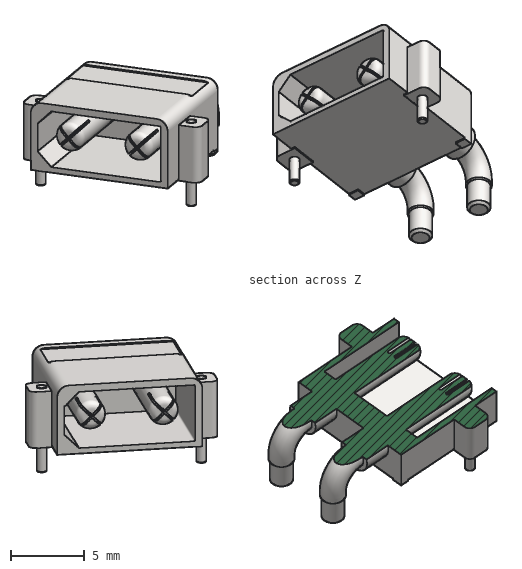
import cadquery as cq


overall_width = 13.0
overall_length = 13.9
overall_height = 7.0

leg_length = 2.0
solder_diameter = 1.6
solder_chamfer = 0.2
collar_length = 0.5
collar_chamfer = 0.1

contact_spacing = 5.0
contact_diameter = 2.0
contact_tip_fillet = 0.5
contact_tip_y = 0.6
tip_slot_width = 0.14
tip_slot_depth = 2.0
barrel_diameter = 2.5
barrel_length = 2.0
elbow_diameter = 1.8
elbow_radius = 2.0

body_width = 10.0
body_length = overall_length - barrel_length - elbow_radius - elbow_diameter / 2
body_top = overall_height - leg_length
body_fillet = 0.8
foot_height = 0.1
foot_length = 0.7
axis_z = body_top / 2

wall = 0.5
cavity_depth = 7.0
cavity_width = body_width - 2 * wall
cavity_height = body_top - 2 * wall
key_chamfer = 1.0
cavity_fillet = 0.11

band_depth = 0.1
band_length = 2.93
rear_rim = 0.7

ear_length = 2.0
ear_height = 4.0
ear_fillet = 0.5
ear_y = 3.0
ear_overlap = 0.3
ear_pin_diameter = 0.7
ear_pin_inset = 1.0
ear_pin_chamfer = 0.08
ear_pin_head = 0.04


def make_housing():
    """Block with rounded upper edges, a band on top and a foot at each rear corner."""
    block_height = body_top - foot_height
    block = (
        cq.Workplane("XY")
        .workplane(offset=foot_height)
        .rect(body_width, body_length)
        .extrude(block_height)
        .translate((0, body_length / 2, 0))
        .edges("|Y and >Z")
        .fillet(body_fillet)
    )
    band = cq.Workplane("XY").box(body_width, band_length, band_depth, centered=(True, False, False))
    block = block.cut(band.translate((0, body_length - rear_rim - band_length, body_top - band_depth)))

    foot_x = (body_width - body_fillet) / 2
    foot_y = body_length - foot_length / 2
    feet = (
        cq.Workplane("XY")
        .pushPoints([(-foot_x, foot_y), (foot_x, foot_y)])
        .rect(body_fillet, foot_length)
        .extrude(foot_height)
    )
    return block.union(feet)


def make_cavity():
    """Plug opening with its two keying chamfers on the -X side."""
    cavity = cq.Workplane("XY").box(cavity_width, cavity_depth, cavity_height)
    cavity = cavity.edges("|Y and <X").chamfer(key_chamfer)
    cavity = cavity.edges("|Y and >X").fillet(cavity_fillet)
    return cavity.translate((0, cavity_depth / 2, axis_z))


def make_ear(side):
    """Ear on one side of the housing (side is -1 or 1) with its pin pressed through."""
    outer_x = overall_width / 2
    inner_x = body_width / 2 - ear_overlap
    ear = (
        cq.Workplane("XY")
        .center(side * (outer_x + inner_x) / 2, ear_y)
        .rect(outer_x - inner_x, ear_length)
        .extrude(ear_height)
        .edges("|Z and >X" if side > 0 else "|Z and <X")
        .fillet(ear_fillet)
    )
    pin = (
        cq.Workplane("XY")
        .workplane(offset=-leg_length)
        .center(side * (outer_x - ear_pin_inset), ear_y)
        .circle(ear_pin_diameter / 2)
        .extrude(leg_length + ear_height + ear_pin_head)
        .faces("<Z")
        .chamfer(ear_pin_chamfer)
    )
    return ear.union(pin)


def make_plug_pin():
    """Round-nosed pin running back to the housing rear face, its tip split by a diagonal cross."""
    pin_length = body_length - contact_tip_y
    pin = (
        cq.Workplane("XZ", origin=(0, contact_tip_y, 0))
        .circle(contact_diameter / 2)
        .extrude(-pin_length)
        .faces("<Y")
        .edges()
        .fillet(contact_tip_fillet)
    )
    for angle in (45, -45):
        slot = cq.Workplane("XY").box(
            contact_diameter, tip_slot_depth, tip_slot_width, centered=(True, False, True)
        )
        slot = slot.rotate((0, 0, 0), (0, 1, 0), angle)
        pin = pin.cut(slot.translate((0, contact_tip_y, 0)))
    return pin


def make_tail():
    """Barrel behind the housing, a quarter bend downward, a collar and a soldering leg."""
    barrel_end = body_length + barrel_length
    leg_y = barrel_end + elbow_radius
    barrel = (
        cq.Workplane("XZ", origin=(0, body_length, 0))
        .circle(barrel_diameter / 2)
        .extrude(-barrel_length)
    )
    elbow = (
        cq.Workplane("XZ", origin=(0, barrel_end, 0))
        .circle(elbow_diameter / 2)
        .revolve(90, (0.14, -elbow_radius, 0), (-0.14, -elbow_radius, 0))
    )
    collar = (
        cq.Workplane("XY", origin=(0, leg_y, -elbow_radius))
        .circle(elbow_diameter / 2)
        .extrude(-collar_length)
        .faces("<Z")
        .chamfer(collar_chamfer)
    )
    leg = (
        cq.Workplane("XY", origin=(0, leg_y, -elbow_radius - collar_length))
        .circle(solder_diameter / 2)
        .extrude(-leg_length)
        .faces("<Z")
        .chamfer(solder_chamfer)
    )
    return barrel.union(elbow).union(collar).union(leg)


contact = make_plug_pin().union(make_tail())
result = make_housing().cut(make_cavity())
for side in (-1, 1):
    result = result.union(contact.translate((side * contact_spacing / 2, 0, axis_z)))
    result = result.union(make_ear(side))